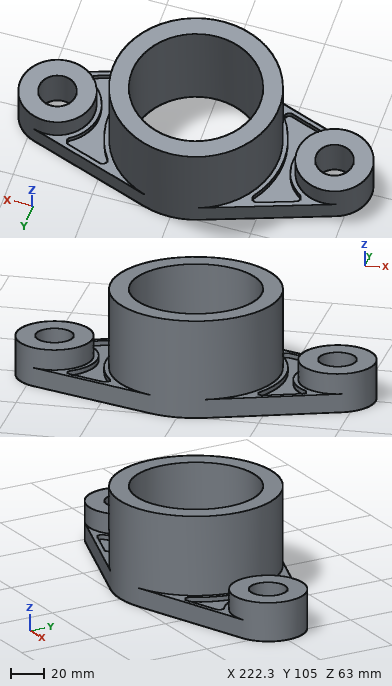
import cadquery as cq
import math

hub_bore_diameter = 81.0
hub_height = 63.0

ear_spacing = 175.0
ear_height = 25.0
ear_hole_diameter = 23.33

wall_thickness = 12.0

web_thickness = 12.0
pocket_depth = 3.0
pocket_rim = 3.0
pocket_corner_radius = 3.0

hub_radius = hub_bore_diameter / 2 + wall_thickness
ear_radius = ear_hole_diameter / 2 + wall_thickness
ear_offset = ear_spacing / 2

normal_x = (hub_radius - ear_radius) / ear_offset
normal_y = math.sqrt(1 - normal_x**2)


def cylinder(radius, height, center_x=0.0, base_z=0.0):
    """Upright cylinder centred on the X axis of the part."""
    base = cq.Workplane("XY", origin=(center_x, 0, base_z))
    return base.circle(radius).extrude(height)


def tapered_block(inset, height, base_z=0.0):
    """Block between the hub and +X ear axes, its sides set in from the tangent lines."""
    hub_reach = hub_radius - inset
    ear_reach = ear_radius - inset
    hub_x = normal_x * hub_reach
    hub_y = normal_y * hub_reach
    ear_x = ear_offset + normal_x * ear_reach
    ear_y = normal_y * ear_reach
    corners = [(hub_x, hub_y), (ear_x, ear_y), (ear_x, -ear_y), (hub_x, -hub_y)]
    return cq.Workplane("XY", origin=(0, 0, base_z)).polyline(corners).close().extrude(height)


def web_pocket():
    """Pocket in the +X web, leaving an even rim along the hub, the ear and both sides."""
    floor_z = web_thickness - pocket_depth
    pocket = tapered_block(pocket_rim, pocket_depth, floor_z)
    pocket = pocket.cut(cylinder(hub_radius + pocket_rim, pocket_depth, 0, floor_z))
    pocket = pocket.cut(cylinder(ear_radius + pocket_rim, pocket_depth, ear_offset, floor_z))
    return pocket.edges("|Z").fillet(pocket_corner_radius)


def ear_with_web():
    """Ear on the +X side together with its pocketed web."""
    web = tapered_block(0, web_thickness).cut(web_pocket())
    ear = cylinder(ear_radius, ear_height, ear_offset)
    hole = cylinder(ear_hole_diameter / 2, ear_height, ear_offset)
    return web.union(ear).cut(hole)


right_ear = ear_with_web()
left_ear = right_ear.mirror("YZ")

hub = cylinder(hub_radius, hub_height)
bore = cylinder(hub_bore_diameter / 2, hub_height)

result = hub.union(right_ear).union(left_ear).cut(bore)